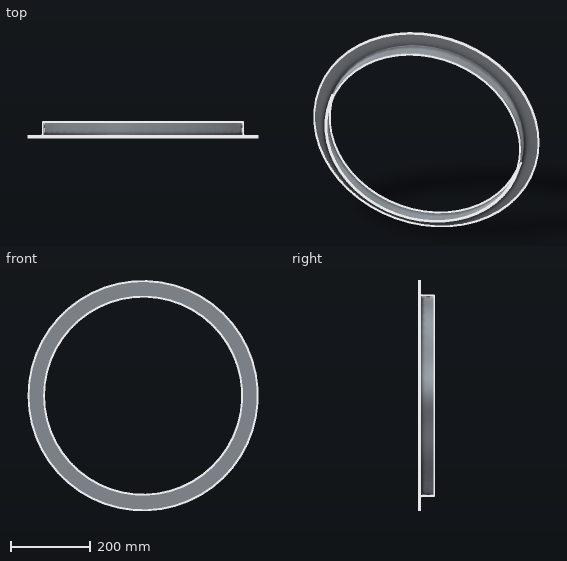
import cadquery as cq

flange_diameter = 580.0
bore_diameter = 500.0
total_depth = 40.0
wall = 4.0
root_fillet = 4.0
rim_fillet = 3.5

flange_radius = flange_diameter / 2
bore_radius = bore_diameter / 2
collar_radius = bore_radius + wall
front_y = -total_depth / 2
back_y = total_depth / 2
flange_back_y = front_y + wall

section = (
    cq.Workplane("XY")
    .moveTo(-bore_radius, front_y)
    .lineTo(-flange_radius, front_y)
    .lineTo(-flange_radius, flange_back_y)
    .lineTo(-collar_radius - root_fillet, flange_back_y)
    .radiusArc((-collar_radius, flange_back_y + root_fillet), -root_fillet)
    .lineTo(-collar_radius, back_y - rim_fillet)
    .radiusArc((-collar_radius + rim_fillet, back_y), rim_fillet)
    .lineTo(-bore_radius, back_y)
    .close()
)

result = section.revolve(360, (0, 0, 0), (0, 1, 0))